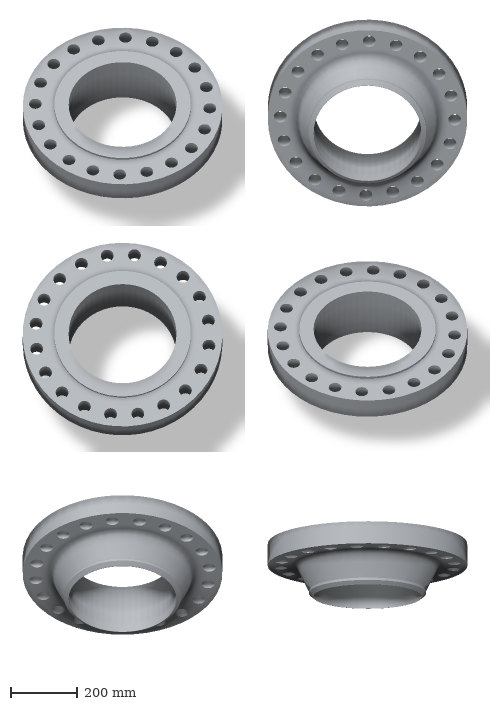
import cadquery as cq

total_height = 171.5
flange_diameter = 603.0
flange_thickness = 68.0
raised_face_diameter = 412.5
raised_face_height = 7.0
bore_diameter = 326.0

hub_base_diameter = 431.5
hub_end_diameter = 355.0
weld_land_height = 18.0
weld_bevel_height = 11.0
weld_bevel_width = 13.0
hub_fillet_radius = 16.0

bolt_count = 20
bolt_circle_diameter = 527.0
bolt_hole_diameter = 38.5

flange_top = total_height - raised_face_height
flange_bottom = flange_top - flange_thickness
hub_end_radius = hub_end_diameter / 2


def revolved_body():
    """Half section of the flange, turned about Z."""
    bore_radius = bore_diameter / 2
    section = (
        cq.Workplane("XZ")
        .moveTo(bore_radius, 0)
        .lineTo(hub_end_radius - weld_bevel_width, 0)
        .lineTo(hub_end_radius, weld_bevel_height)
        .lineTo(hub_end_radius, weld_land_height)
        .lineTo(hub_base_diameter / 2, flange_bottom)
        .lineTo(flange_diameter / 2, flange_bottom)
        .lineTo(flange_diameter / 2, flange_top)
        .lineTo(raised_face_diameter / 2, flange_top)
        .lineTo(raised_face_diameter / 2, total_height)
        .lineTo(bore_radius, total_height)
        .close()
    )
    return section.revolve(360, (0, 0, 0), (0, 1, 0))


def fillet_hub_root(body):
    """Round the corner where the tapered hub meets the flange."""
    tolerance = 0.5
    reach = hub_base_diameter / 2 + tolerance
    root_zone = cq.selectors.BoxSelector(
        (-reach, -reach, flange_bottom - tolerance),
        (reach, reach, flange_bottom + tolerance),
        boundingbox=True,
    )
    return body.edges(root_zone).fillet(hub_fillet_radius)


def bolt_holes():
    """Through-hole cutters, the first one on the +X axis."""
    return (
        cq.Workplane("XY")
        .workplane(offset=flange_bottom)
        .polarArray(bolt_circle_diameter / 2, 0, 360, bolt_count)
        .circle(bolt_hole_diameter / 2)
        .extrude(flange_thickness)
    )


result = fillet_hub_root(revolved_body()).cut(bolt_holes())